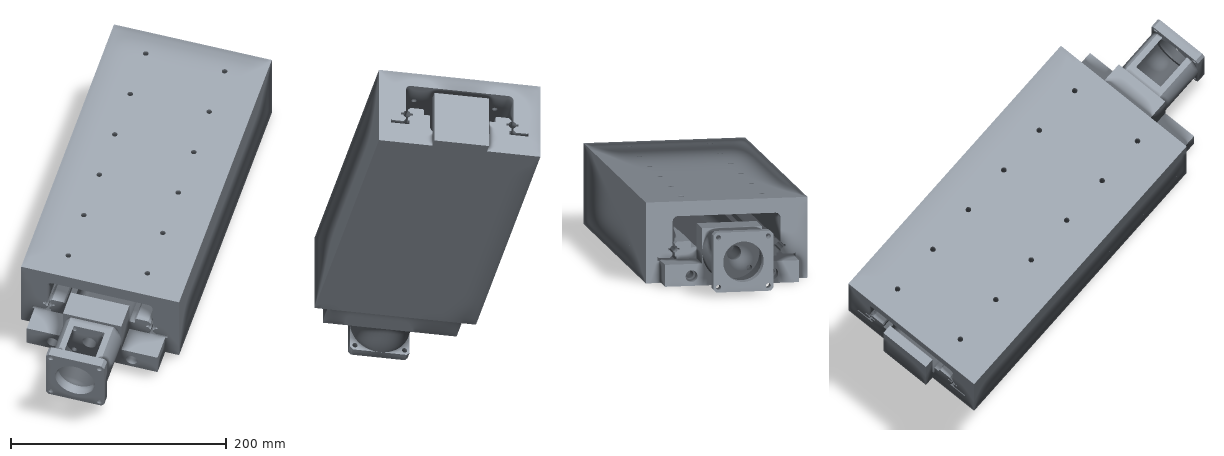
import cadquery as cq
import math


WIDTH = 152.5
TOTAL_LENGTH = 397.0
TOTAL_HEIGHT = 76.2
SPLIT_Z = 20.5

HOLE_PITCH = WIDTH / 3
HOLE_ROWS = 6
TABLE_HOLE_DIAMETER = 5.0
TABLE_LENGTH = HOLE_ROWS * HOLE_PITCH
TABLE_HOLE_X = WIDTH / 4

CAVITY_HALF_WIDTH = 50.8
CAVITY_TOP_Z = 62.5
CAVITY_FILLET = 4.8

RAIL_TOP_Z = 38.5
RAIL_GAP = 2.0
OUTER_RAIL_SIDE_X = 65.0
OUTER_RAIL_BOTTOM_Z = 23.5
INNER_RAIL_FACE_X = CAVITY_HALF_WIDTH - RAIL_GAP
INNER_RAIL_SIDE_X = 33.7
INNER_RAIL_BOTTOM_Z = 24.5
RAIL_FACE_CHAMFER = 2.5
RAIL_SIDE_CHAMFER = 1.0
RACE_X = (CAVITY_HALF_WIDTH + INNER_RAIL_FACE_X) / 2
RACE_Z = 31.5
RACE_DIAMETER = 7.0
RELIEF_WIDTH = 11.0
RELIEF_HEIGHT = 2.0

PAD_HALF_WIDTH = 47.2
SHOULDER_Z = 32.5
TROUGH_HALF_WIDTH = 28.0
TROUGH_FLOOR_Z = 14.0
TROUGH_FILLET = 7.0

AXIS_Z = 33.0
SHAFT_HOLE_DIAMETER = 13.5
HOUSING_WIDTH = 56.5

PLATE_WIDTH = 51.5
PLATE_THICKNESS = 9.5
PLATE_HEIGHT = 51.5

BRACKET_LENGTH = 26.0
BRACKET_WIDTH = 126.2
BRACKET_BOTTOM_Z = 1.0
BRACKET_WING_Z = 22.0
BRACKET_TOP_Z = 55.0
BOLT_X = WIDTH / 4
BOLT_Z = 10.5
BOLT_DIAMETER = 7.5
BOLT_HEAD_DIAMETER = 11.0
BOLT_HEAD_DEPTH = 10.0

FLANGE_THICKNESS = 9.5
FLANGE_CHAMFER = 2.8
FLANGE_HOLE_OFFSET = 23.5
FLANGE_HOLE_DIAMETER = 4.8
FLANGE_BORE_DIAMETER = 38.0
HOUSING_WALL = 9.0
HOUSING_FLAT_HEIGHT = 19.0
CHAMBER_DIAMETER = 48.5
COVER_HOLE_CIRCLE = 41.3
COVER_HOLE_DIAMETER = 5.0

HOUSING_BACK_Y = -BRACKET_LENGTH
HOUSING_FRONT_Y = -(TOTAL_LENGTH - TABLE_LENGTH - PLATE_THICKNESS)
FLANGE_BACK_Y = HOUSING_FRONT_Y + FLANGE_THICKNESS
CHAMBER_BACK_Y = HOUSING_BACK_Y - HOUSING_WALL


def block(x_min, x_max, y_min, y_max, z_min, z_max):
    """Box between two corners."""
    size = (x_max - x_min, y_max - y_min, z_max - z_min)
    return cq.Workplane("XY").box(*size, centered=False).translate((x_min, y_min, z_min))


def wide_block(width, y_min, y_max, z_min, z_max):
    """Box centred on X = 0."""
    return block(-width / 2, width / 2, y_min, y_max, z_min, z_max)


def rods(points, diameter, y_min, y_max):
    """Cylinders along Y at the given (x, z) points."""
    plane = cq.Workplane("XZ", origin=(0, y_min, 0))
    return plane.pushPoints(points).circle(diameter / 2).extrude(y_min - y_max)


def square_points(offset):
    """Four (x, z) points around the drive axis, one in each quadrant."""
    return [(i * offset, AXIS_Z + k * offset) for i in (-1, 1) for k in (-1, 1)]


def make_table():
    table = wide_block(WIDTH, 0, TABLE_LENGTH, SPLIT_Z, TOTAL_HEIGHT)
    cavity = wide_block(2 * CAVITY_HALF_WIDTH, 0, TABLE_LENGTH, SPLIT_Z, CAVITY_TOP_Z)
    cavity = cavity.edges("|Y and >Z").fillet(CAVITY_FILLET)
    rail_seats = wide_block(2 * OUTER_RAIL_SIDE_X, 0, TABLE_LENGTH, SPLIT_Z, RAIL_TOP_Z)
    holes = (
        cq.Workplane("XY", origin=(0, TABLE_LENGTH / 2, CAVITY_TOP_Z))
        .rarray(2 * TABLE_HOLE_X, HOLE_PITCH, 2, HOLE_ROWS)
        .circle(TABLE_HOLE_DIAMETER / 2)
        .extrude(TOTAL_HEIGHT - CAVITY_TOP_Z)
    )
    return table.cut(cavity).cut(rail_seats).cut(holes)


def make_base():
    base = wide_block(WIDTH, 0, TABLE_LENGTH, 0, SPLIT_Z)
    rail_pad = wide_block(2 * PAD_HALF_WIDTH, 0, TABLE_LENGTH, 0, INNER_RAIL_BOTTOM_Z)
    shoulders = wide_block(2 * INNER_RAIL_SIDE_X, 0, TABLE_LENGTH, 0, SHOULDER_Z)
    trough = wide_block(2 * TROUGH_HALF_WIDTH, 0, TABLE_LENGTH, TROUGH_FLOOR_Z, SHOULDER_Z)
    trough = trough.edges("|Y and <Z").fillet(TROUGH_FILLET)
    return base.union(rail_pad).union(shoulders).cut(trough)


def cut_race(rail):
    """Ball race and relief slit along the full length of a +X rail."""
    race = rods([(RACE_X, RACE_Z)], RACE_DIAMETER, 0, TABLE_LENGTH)
    relief = wide_block(
        RELIEF_WIDTH, 0, TABLE_LENGTH, RACE_Z - RELIEF_HEIGHT / 2, RACE_Z + RELIEF_HEIGHT / 2
    ).translate((RACE_X, 0, 0))
    return rail.cut(race).cut(relief)


def on_side(rail, side):
    """The +X rail itself for side = 1, its mirror image for side = -1."""
    return rail if side > 0 else rail.mirror("YZ")


def make_outer_rail(side):
    rail = block(CAVITY_HALF_WIDTH, OUTER_RAIL_SIDE_X, 0, TABLE_LENGTH, OUTER_RAIL_BOTTOM_Z, RAIL_TOP_Z)
    rail = rail.edges("|Y and <X and <Z").chamfer(RAIL_FACE_CHAMFER)
    rail = rail.edges("|Y and >X and <Z").chamfer(RAIL_SIDE_CHAMFER)
    return on_side(cut_race(rail), side)


def make_inner_rail(side):
    rail = block(INNER_RAIL_SIDE_X, INNER_RAIL_FACE_X, 0, TABLE_LENGTH, INNER_RAIL_BOTTOM_Z, RAIL_TOP_Z)
    rail = rail.edges("|Y and >X and >Z").chamfer(RAIL_FACE_CHAMFER)
    rail = rail.edges("|Y and <X and >Z").chamfer(RAIL_SIDE_CHAMFER)
    return on_side(cut_race(rail), side)


def make_end_plate():
    return wide_block(PLATE_WIDTH, TABLE_LENGTH, TABLE_LENGTH + PLATE_THICKNESS, 0, PLATE_HEIGHT)


def make_bracket():
    wings = wide_block(BRACKET_WIDTH, HOUSING_BACK_Y, 0, BRACKET_BOTTOM_Z, BRACKET_WING_Z)
    tower = wide_block(HOUSING_WIDTH, HOUSING_BACK_Y, 0, BRACKET_BOTTOM_Z, BRACKET_TOP_Z)
    bolt_points = [(-BOLT_X, BOLT_Z), (BOLT_X, BOLT_Z)]
    bolt_holes = rods(bolt_points, BOLT_DIAMETER, HOUSING_BACK_Y, 0)
    head_holes = rods(bolt_points, BOLT_HEAD_DIAMETER, HOUSING_BACK_Y, HOUSING_BACK_Y + BOLT_HEAD_DEPTH)
    shaft_hole = rods([(0, AXIS_Z)], SHAFT_HOLE_DIAMETER, HOUSING_BACK_Y, 0)
    return wings.union(tower).cut(bolt_holes).cut(head_holes).cut(shaft_hole)


def make_housing():
    axis = [(0, AXIS_Z)]
    half_width = HOUSING_WIDTH / 2

    barrel = rods(axis, HOUSING_WIDTH, FLANGE_BACK_Y, HOUSING_BACK_Y)
    above_flat = wide_block(
        HOUSING_WIDTH, FLANGE_BACK_Y, HOUSING_BACK_Y, AXIS_Z + HOUSING_FLAT_HEIGHT, AXIS_Z + half_width
    )
    flange = wide_block(
        HOUSING_WIDTH, HOUSING_FRONT_Y, FLANGE_BACK_Y, AXIS_Z - half_width, AXIS_Z + half_width
    ).edges("|Y").chamfer(FLANGE_CHAMFER)

    chamber = rods(axis, CHAMBER_DIAMETER, FLANGE_BACK_Y, CHAMBER_BACK_Y)
    flange_bore = rods(axis, FLANGE_BORE_DIAMETER, HOUSING_FRONT_Y, FLANGE_BACK_Y)
    flange_holes = rods(
        square_points(FLANGE_HOLE_OFFSET), FLANGE_HOLE_DIAMETER, HOUSING_FRONT_Y, FLANGE_BACK_Y
    )
    shaft_hole = rods(axis, SHAFT_HOLE_DIAMETER, CHAMBER_BACK_Y, HOUSING_BACK_Y)
    cover_hole_offset = COVER_HOLE_CIRCLE / 2 * math.sin(math.radians(45))
    cover_holes = rods(
        square_points(cover_hole_offset), COVER_HOLE_DIAMETER, CHAMBER_BACK_Y, HOUSING_BACK_Y
    )

    housing = barrel.cut(above_flat).union(flange)
    for hollow in (chamber, flange_bore, flange_holes, shaft_hole, cover_holes):
        housing = housing.cut(hollow)
    return housing


table = make_table()
base = make_base()
outer_rails = [make_outer_rail(side).val() for side in (-1, 1)]
inner_rails = [make_inner_rail(side).val() for side in (-1, 1)]
end_plate = make_end_plate()
bracket = make_bracket()
housing = make_housing()

result = cq.Compound.makeCompound([
    table.val(),
    base.val(),
    *outer_rails,
    *inner_rails,
    end_plate.val(),
    bracket.val(),
    housing.val(),
])